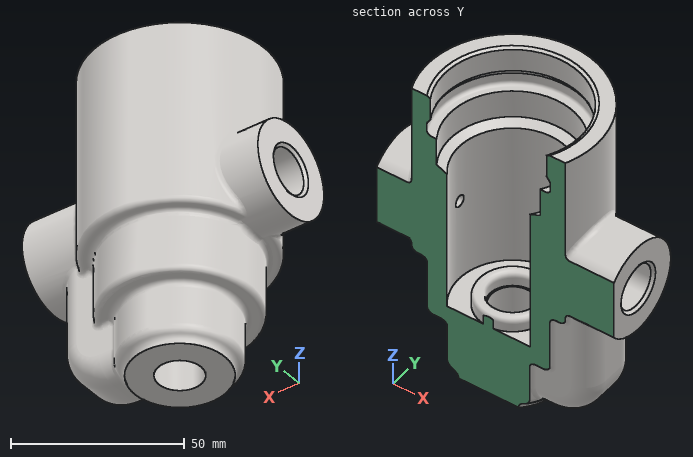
import cadquery as cq
import math

height = 104.0
body_dia = 60.0
body_bottom_z = 41.0
middle_dia = 50.0
middle_bottom_z = 20.0
lower_dia = 38.0
bottom_dia = 32.0
blend_radius = 2.0
taper_radius = 3.0
joint_radius = 1.8

boss_dia = 32.0
boss_z = 56.0
left_reach = 40.0
right_reach = 44.9
port_dia = 15.0
port_mouth_dia = 17.0
port_depth = 15.0
orifice_dia = 4.0

elbow_reach = 36.0
elbow_width = 22.0
elbow_bottom_z = 3.0
elbow_bend = 15.0
elbow_edge_round = 7.0

mouth_dia = 50.0
thread_dia = 47.8
relief_dia = 50.0
relief_start_depth = 10.7
relief_depth = 15.0
relief_round = 1.5
guide_dia = 44.0
guide_depth = 25.0
chamber_dia = 38.0
chamber_floor_z = 26.0
outlet_dia = 15.0

seat_outer_dia = 24.0
seat_bore_dia = 16.0
seat_height = 5.0

cone_angle = 30
cone_slope = math.tan(math.radians(cone_angle))
tolerance = 0.001


def make_body():
    """Revolve the stepped outside: rounded corners, blended shoulders and an S-curved foot."""
    outline = cq.Workplane("XZ").moveTo(0, height).lineTo(body_dia / 2, height)
    steps = [
        (body_dia, middle_dia, body_bottom_z),
        (middle_dia, lower_dia, middle_bottom_z),
    ]
    for upper_dia, next_dia, z in steps:
        upper_r = upper_dia / 2
        next_r = next_dia / 2
        outline = (
            outline.lineTo(upper_r, z + blend_radius)
            .radiusArc((upper_r - blend_radius, z), blend_radius)
            .lineTo(next_r + blend_radius, z)
            .radiusArc((next_r, z - blend_radius), -blend_radius)
        )

    bottom_r = bottom_dia / 2
    half_inset = (lower_dia / 2 - bottom_r) / 2
    half_drop = math.sqrt(taper_radius**2 - (taper_radius - half_inset) ** 2)
    outline = (
        outline.lineTo(lower_dia / 2, 2 * half_drop)
        .radiusArc((bottom_r + half_inset, half_drop), taper_radius)
        .radiusArc((bottom_r, 0), -taper_radius)
        .lineTo(0, 0)
        .close()
    )
    return outline.revolve(360, (0, 0, 0), (0, 1, 0))


def make_boss(reach):
    """Horizontal boss from the body axis out to x = reach."""
    return cq.Workplane("YZ").center(0, boss_z).circle(boss_dia / 2).extrude(reach)


def make_elbow():
    """Flat-sided rib with a bent, rounded outer edge."""
    outline = (
        cq.Workplane("XZ", origin=(0, elbow_width / 2, 0))
        .moveTo(0, elbow_bottom_z)
        .lineTo(elbow_reach - elbow_bend, elbow_bottom_z)
        .radiusArc((elbow_reach, elbow_bottom_z + elbow_bend), -elbow_bend)
        .lineTo(elbow_reach, boss_z)
        .lineTo(0, boss_z)
        .close()
    )
    rib = outline.extrude(elbow_width)
    bend_edges = rib.faces(">X").edges("|Z")
    return bend_edges.fillet(elbow_edge_round)


def join_with_fillets(pieces, radius):
    """Unite the pieces and fillet every edge along which two of them meet."""
    joined = pieces[0]
    for piece in pieces[1:]:
        joined = joined.union(piece)

    shells = [piece.val().Shells()[0] for piece in pieces]
    joints = []
    for edge in joined.edges().vals():
        middle = cq.Vertex.makeVertex(*edge.positionAt(0.5).toTuple())
        touching = [shell for shell in shells if shell.distance(middle) < tolerance]
        if len(touching) > 1:
            joints.append(edge)
    return joined.newObject(joints).fillet(radius)


def make_interior():
    """Revolved cavity, open at the top, with the seat left standing on its floor."""
    mouth_r = mouth_dia / 2
    thread_r = thread_dia / 2
    relief_r = relief_dia / 2
    guide_r = guide_dia / 2
    chamber_r = chamber_dia / 2
    seat_outer_r = seat_outer_dia / 2
    seat_bore_r = seat_bore_dia / 2
    outlet_r = outlet_dia / 2
    seat_round = (seat_outer_r - seat_bore_r) / 2
    seat_shoulder_z = chamber_floor_z + seat_height - seat_round
    relief_bottom_z = height - relief_depth
    relief_start_z = height - relief_start_depth
    guide_bottom_z = height - guide_depth

    outline = (
        cq.Workplane("XZ")
        .moveTo(0, height)
        .lineTo(mouth_r, height)
        .lineTo(thread_r, height - (mouth_r - thread_r) * cone_slope)
        .lineTo(thread_r, relief_start_z + (relief_r - thread_r) / cone_slope)
        .lineTo(relief_r, relief_start_z)
        .lineTo(relief_r, relief_bottom_z + relief_round)
        .radiusArc((relief_r - relief_round, relief_bottom_z), relief_round)
        .lineTo(guide_r, relief_bottom_z)
        .lineTo(guide_r, guide_bottom_z)
        .lineTo(chamber_r, guide_bottom_z - (guide_r - chamber_r) * cone_slope)
        .lineTo(chamber_r, chamber_floor_z)
        .lineTo(seat_outer_r, chamber_floor_z)
        .lineTo(seat_outer_r, seat_shoulder_z)
        .threePointArc(
            (seat_outer_r - seat_round, chamber_floor_z + seat_height),
            (seat_bore_r, seat_shoulder_z),
        )
        .lineTo(seat_bore_r, chamber_floor_z)
        .lineTo(outlet_r, chamber_floor_z)
        .lineTo(outlet_r, 0)
        .lineTo(0, 0)
        .close()
    )
    return outline.revolve(360, (0, 0, 0), (0, 1, 0))


def make_port(mouth_x):
    """Blind port bored from the boss end at mouth_x toward the axis, with a chamfered mouth."""
    inward = math.copysign(1, -mouth_x)
    chamfer = (port_mouth_dia - port_dia) / 2
    end_face = cq.Workplane("YZ", origin=(mouth_x, 0, boss_z))
    bore = end_face.circle(port_dia / 2).extrude(inward * port_depth)
    mouth = cq.Solid.makeCone(
        port_mouth_dia / 2,
        port_dia / 2,
        chamfer,
        pnt=cq.Vector(mouth_x, 0, boss_z),
        dir=cq.Vector(inward, 0, 0),
    )
    return bore.union(cq.Workplane(mouth))


def make_orifice():
    """Small hole from the left port into the chamber, ending on the axis."""
    left_face = cq.Workplane("YZ", origin=(-left_reach, 0, boss_z))
    return left_face.circle(orifice_dia / 2).extrude(left_reach)


outside = join_with_fillets(
    [make_body(), make_boss(-left_reach), make_boss(right_reach), make_elbow()],
    joint_radius,
)
result = (
    outside.cut(make_interior())
    .cut(make_port(-left_reach))
    .cut(make_port(right_reach))
    .cut(make_orifice())
)